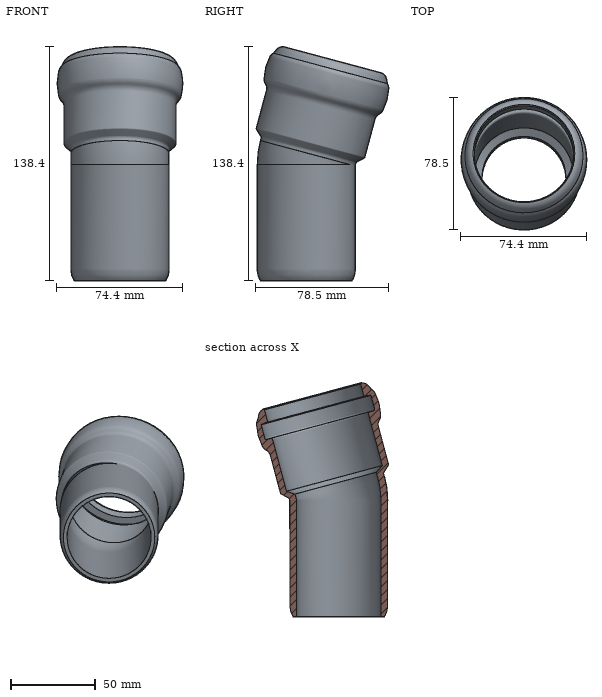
import cadquery as cq
import math

pipe_radius = 29.02
bore_radius = 24.8
spigot_length = 68.8
nose_length = 6.9
nose_end_radius = 27.0
nose_mid_radius = 28.4
nose_mid_height = 2.8

bend_angle = 15.0
bend_radius = 25.5
bend_outer_radius = pipe_radius - 0.03
bend_spline_steps = 24

neck_height = 1.4
cone_start_height = 2.6
cone_start_radius = 29.5
cone_end_height = 5.8
cone_end_radius = 33.0
socket_radius = 33.2
socket_edge = 0.5
socket_top_height = 29.5
bead_foot_height = 33.2
bead_foot_radius = 34.9
bead_lower_height = 36.2
bead_edge_radius = 36.5
bead_radius = 37.19
bead_upper_height = 49.3
shoulder_height = 52.0
shoulder_radius = 34.9
rim_radius = 33.8
rim_round_height = 2.9
socket_length = 57.2

seat_start_height = 3.7
seat_end_height = 6.6
socket_bore_radius = 29.2
ledge_height = 39.3
ledge_round = 1.2
groove_round = 0.8
groove_radius = 33.5
groove_upper_height = 48.5
lip_height = 49.0
lip_radius = 29.4
mouth_chamfer = 0.7


def revolve(profile):
    """Turn a closed (radius, height) profile about the vertical axis."""
    return profile.close().revolve(360, (0, 0, 0), (0, 1, 0))


def turn_about_bend(section):
    """Turn a section on Z = spigot_length about the bend axis, towards +Y."""
    return section.revolve(bend_angle, (0, bend_radius, 0), (-1, bend_radius, 0))


def bend_outside():
    """Solid bend: the pipe circle, cut off where it would cross the bend axis.

    It is a hair slimmer than the pipe, so its rims stay within the end faces it meets.
    """
    half_opening = math.acos(bend_radius / bend_outer_radius)
    step = 2 * (math.pi - half_opening) / bend_spline_steps
    points = []
    for i in range(bend_spline_steps + 1):
        angle = half_opening + i * step
        points.append((bend_outer_radius * math.sin(angle), bend_outer_radius * math.cos(angle)))
    section = cq.Workplane("XY", origin=(0, 0, spigot_length)).spline(points).close()
    return turn_about_bend(section)


def bend_bore():
    return turn_about_bend(cq.Workplane("XY", origin=(0, 0, spigot_length)).circle(bore_radius))


def tilt(body):
    """Move a body built upright on Z = 0 to the far end of the bend."""
    pivot = (0, bend_radius, spigot_length)
    pivot_end = (-1, bend_radius, spigot_length)
    return body.translate((0, 0, spigot_length)).rotate(pivot, pivot_end, bend_angle)


def spigot_outside():
    profile = (
        cq.Workplane("XZ")
        .lineTo(nose_end_radius, 0)
        .threePointArc((nose_mid_radius, nose_mid_height), (pipe_radius, nose_length))
        .lineTo(pipe_radius, spigot_length)
        .lineTo(0, spigot_length)
    )
    return revolve(profile)


def socket_outside():
    bead_mid_height = (bead_lower_height + bead_upper_height) / 2
    profile = (
        cq.Workplane("XZ")
        .lineTo(pipe_radius, 0)
        .lineTo(pipe_radius, neck_height)
        .tangentArcPoint((cone_start_radius, cone_start_height), relative=False)
        .lineTo(cone_end_radius, cone_end_height)
        .tangentArcPoint((socket_radius, cone_end_height + socket_edge), relative=False)
        .lineTo(socket_radius, socket_top_height)
        .tangentArcPoint((bead_foot_radius, bead_foot_height), relative=False)
        .tangentArcPoint((bead_edge_radius, bead_lower_height), relative=False)
        .threePointArc((bead_radius, bead_mid_height), (bead_edge_radius, bead_upper_height))
        .tangentArcPoint((shoulder_radius, shoulder_height), relative=False)
        .lineTo(rim_radius, socket_length - rim_round_height)
        .tangentArcPoint((lip_radius + mouth_chamfer, socket_length), relative=False)
        .lineTo(0, socket_length)
    )
    return revolve(profile)


def socket_inside():
    profile = (
        cq.Workplane("XZ")
        .lineTo(bore_radius, 0)
        .lineTo(bore_radius, seat_start_height)
        .lineTo(socket_bore_radius, seat_end_height)
        .lineTo(socket_bore_radius, ledge_height - ledge_round)
        .tangentArcPoint((ledge_round, ledge_round))
        .lineTo(groove_radius - groove_round, ledge_height)
        .tangentArcPoint((groove_round, groove_round))
        .lineTo(groove_radius, groove_upper_height)
        .lineTo(lip_radius, lip_height)
        .lineTo(lip_radius, socket_length - mouth_chamfer)
        .lineTo(lip_radius + mouth_chamfer, socket_length)
        .lineTo(0, socket_length)
    )
    return revolve(profile)


outside = spigot_outside().union(bend_outside()).union(tilt(socket_outside()))
spigot_bore = cq.Workplane("XY").circle(bore_radius).extrude(spigot_length)
result = outside.cut(spigot_bore).cut(bend_bore()).cut(tilt(socket_inside()))